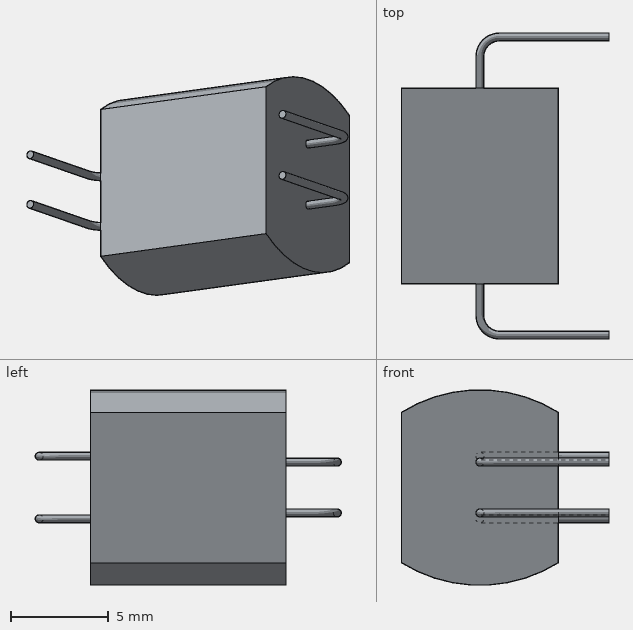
import cadquery as cq
import math

body_width = 8.02
body_length = 10.0
body_height = 10.0
crown_radius = 7.55
wall = 0.51

wire_diameter = 0.41
bend_radius = 1.0
row_spacing = 15.24
lead_tip_x = 6.6
front_lead_pitch = 2.6
rear_lead_pitch = 3.2


def crowned_prism(inset):
    """Full-length prism of the housing outline moved inwards by inset."""
    half_width = body_width / 2 - inset
    half_height = body_height / 2 - inset
    radius = crown_radius - inset
    crown_rise = radius - math.sqrt(radius**2 - half_width**2)
    corner_z = half_height - crown_rise
    return (
        cq.Workplane("XZ")
        .moveTo(-half_width, -corner_z)
        .lineTo(-half_width, corner_z)
        .threePointArc((0, half_height), (half_width, corner_z))
        .lineTo(half_width, -corner_z)
        .threePointArc((0, -half_height), (-half_width, -corner_z))
        .close()
        .extrude(body_length / 2, both=True)
    )


def make_body():
    """Housing tube filled flush with potting; the seam stays on both end faces."""
    potting = crowned_prism(wall)
    housing = crowned_prism(0).cut(potting)
    return housing.union(potting, clean=False)


def make_lead(end, z):
    """Bent wire on the end face at end = -1 (-Y) or +1 (+Y), at height z."""
    face_y = end * body_length / 2
    row_y = end * row_spacing / 2
    bend_start_y = row_y - end * bend_radius
    bend_offset = bend_radius * (1 - math.sqrt(0.5))
    path = (
        cq.Workplane("XY", origin=(0, 0, z))
        .moveTo(0, face_y)
        .lineTo(0, bend_start_y)
        .threePointArc((bend_offset, row_y - end * bend_offset), (bend_radius, row_y))
        .lineTo(lead_tip_x, row_y)
    )
    section = cq.Workplane("XZ", origin=(0, face_y, z)).circle(wire_diameter / 2)
    return section.sweep(path)


result = make_body()
for end, pitch in ((-1, front_lead_pitch), (1, rear_lead_pitch)):
    for z in (-pitch / 2, pitch / 2):
        result = result.union(make_lead(end, z), clean=False)